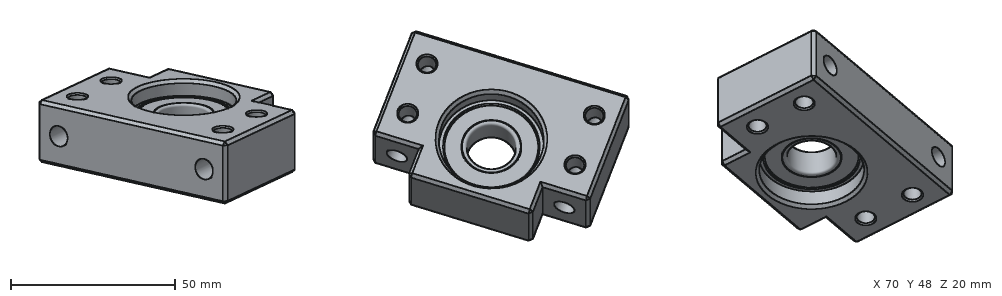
import cadquery as cq


LENGTH = 70.0
DEPTH = 48.0
HEIGHT = 20.0
NOSE_WIDTH = 40.0
NOSE_LENGTH = 10.0
BORE_FROM_NOSE = 20.0
EDGE_CHAMFER = 1.05

HOLE_SPACING_X = 54.0
HOLE_SPACING_Y = 18.0
MOUNT_HOLE_DIAMETER = 5.5
MOUNT_HOLE_CHAMFER = 0.5
CROSS_HOLE_DIAMETER = 6.6

BEARING_DIAMETER = 32.0
BEARING_BORE = 15.0
BEARING_WIDTH = 9.0
BEARING_RECESS = 5.0
OUTER_RING_INNER_DIAMETER = 28.55
OUTER_RING_FILLET = 0.3
OUTER_RING_LIP_CHAMFER = 0.5
INNER_RING_OUTER_DIAMETER = 17.85
INNER_RING_FILLET = 0.7
SHIELD_THICKNESS = 1.05
SHIELD_GAP = 0.2
SHIELD_FILLET = 0.4

NOSE_Y = BORE_FROM_NOSE
SHOULDER_Y = NOSE_Y - NOSE_LENGTH
FRONT_Y = NOSE_Y - DEPTH
BEARING_TOP = HEIGHT - BEARING_RECESS
BEARING_BOTTOM = BEARING_TOP - BEARING_WIDTH
BEARING_MIDDLE = (BEARING_TOP + BEARING_BOTTOM) / 2


def make_tube(outer_diameter, inner_diameter, bottom, length):
    """Plain tube on the Z axis."""
    return (
        cq.Workplane("XY")
        .workplane(offset=bottom)
        .circle(outer_diameter / 2)
        .circle(inner_diameter / 2)
        .extrude(length)
    )


def make_chamfered_hole(x, y, diameter, chamfer):
    """Cutter for a through hole along Z, chamfered at both faces of the block."""
    radius = diameter / 2
    rim_radius = radius + chamfer
    profile = [
        (0, 0),
        (rim_radius, 0),
        (radius, chamfer),
        (radius, HEIGHT - chamfer),
        (rim_radius, HEIGHT),
        (0, HEIGHT),
    ]
    cutter = cq.Workplane("XZ").polyline(profile).close().revolve(360, (0, 0), (0, 1))
    return cutter.translate((x, y, 0))


def make_block():
    """T-shaped block with every outer edge chamfered."""
    outline = [
        (-LENGTH / 2, FRONT_Y),
        (LENGTH / 2, FRONT_Y),
        (LENGTH / 2, SHOULDER_Y),
        (NOSE_WIDTH / 2, SHOULDER_Y),
        (NOSE_WIDTH / 2, NOSE_Y),
        (-NOSE_WIDTH / 2, NOSE_Y),
        (-NOSE_WIDTH / 2, SHOULDER_Y),
        (-LENGTH / 2, SHOULDER_Y),
    ]
    block = cq.Workplane("XY").polyline(outline).close().extrude(HEIGHT)
    nose_posts = block.faces(">Y").edges("|Z")
    end_posts = block.edges("|Z and (<X or >X)")
    face_rims = block.faces("<Z or >Z").edges()
    outer_edges = end_posts.add(nose_posts).add(face_rims)
    return outer_edges.chamfer(EDGE_CHAMFER)


def make_housing():
    """Block with the bearing bore, four mounting holes and two cross holes."""
    housing = make_block()
    housing = housing.cut(make_chamfered_hole(0, 0, BEARING_DIAMETER, EDGE_CHAMFER))
    for side in (-1, 1):
        hole_x = side * HOLE_SPACING_X / 2
        for hole_y in (0, -HOLE_SPACING_Y):
            mount_hole = make_chamfered_hole(hole_x, hole_y, MOUNT_HOLE_DIAMETER, MOUNT_HOLE_CHAMFER)
            housing = housing.cut(mount_hole)
        cross_hole = (
            cq.Workplane("XZ", origin=(hole_x, NOSE_Y, HEIGHT / 2))
            .circle(CROSS_HOLE_DIAMETER / 2)
            .extrude(DEPTH)
        )
        housing = housing.cut(cross_hole)
    return housing


def make_outer_ring():
    """Outer ring with rounded outside rims and a chamfered lip beside each shield."""
    ring = make_tube(BEARING_DIAMETER, OUTER_RING_INNER_DIAMETER, BEARING_BOTTOM, BEARING_WIDTH)
    lips = cq.selectors.RadiusNthSelector(0)
    ring = ring.edges(lips).chamfer(OUTER_RING_LIP_CHAMFER)
    outside_rims = cq.selectors.RadiusNthSelector(-1)
    return ring.edges(outside_rims).fillet(OUTER_RING_FILLET)


def make_inner_ring():
    """Inner ring with rounded bore rims."""
    ring = make_tube(INNER_RING_OUTER_DIAMETER, BEARING_BORE, BEARING_BOTTOM, BEARING_WIDTH)
    bore_rims = cq.selectors.RadiusNthSelector(0)
    return ring.edges(bore_rims).fillet(INNER_RING_FILLET)


def make_top_shield():
    """Flat annular shield, flush with the top of the bearing, rounded at its outside rim."""
    shield = make_tube(
        OUTER_RING_INNER_DIAMETER,
        INNER_RING_OUTER_DIAMETER + 2 * SHIELD_GAP,
        BEARING_TOP - SHIELD_THICKNESS,
        SHIELD_THICKNESS,
    )
    outside_rim = cq.selectors.RadiusNthSelector(-1)
    return shield.faces(">Z").edges(outside_rim).fillet(SHIELD_FILLET)


housing = make_housing()
outer_ring = make_outer_ring()
inner_ring = make_inner_ring()

shields = []
for turn in (0, 180):
    shield = make_top_shield().rotate((0, 0, BEARING_MIDDLE), (1, 0, BEARING_MIDDLE), turn)
    shields.append(shield.val())

result = cq.Compound.makeCompound([housing.val(), outer_ring.val(), inner_ring.val(), *shields])